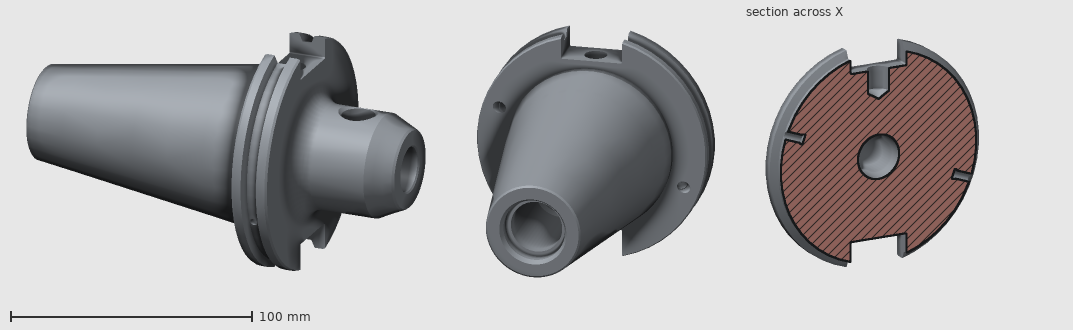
import cadquery as cq
import math

length = 164.6
gauge_x = 101.2
relief_x = 102.9
flange_start = 104.9
flange_end = 120.8
nose_taper_x = 153.0

gauge_radius = 34.9
relief_radius = 69.3 / 2
flange_radius = 98.1 / 2
groove_radius = 46.0
nose_radius = 44.5 / 2
nose_end_radius = 16.6
nose_rim_x = 163.6
nose_rim_radius = 17.3
taper_slope = 7 / 48
small_end_radius = gauge_radius - gauge_x * taper_slope
small_end_chamfer = 0.7
flange_chamfer_width = 1.0
flange_chamfer_height = 0.5
neck_fillet = 7.7

groove_center = 112.6
groove_floor_width = 4.0
groove_top_width = 6.9

mouth_radius = 14.3
mouth_depth = 2.3
pilot_radius = 26.2 / 2
thread_radius = 21.9 / 2
bore_radius = 19.1 / 2
pilot_depth = 6.6
thread_depth = 49.4
nose_bore_chamfer = 0.7

slot_width = 26.2
slot_corner_radius = 0.7
upper_slot_floor = 38.0
lower_slot_floor = 35.4
dimple_diameter = 9.5
dimple_depth = 9.9
drill_half_angle = math.radians(59)

screw_x = 141.4
screw_radius = 14.3 / 2
screw_mouth_radius = 8.5

coolant_angle = 20.0
coolant_circle_radius = 41.8
coolant_tilt = 30.0
coolant_mouth_diameter = 5.0
coolant_mouth_length = 2.5
channel_diameter = 4.3
vent_diameter = 3.3


def make_body():
    """Revolve the taper, flange and nose about the X axis."""
    floor_start = groove_center - groove_floor_width / 2
    floor_end = groove_center + groove_floor_width / 2
    top_start = groove_center - groove_top_width / 2
    top_end = groove_center + groove_top_width / 2
    fillet_center_x = flange_end + neck_fillet
    fillet_center_r = nose_radius + neck_fillet
    fillet_offset = neck_fillet * math.sqrt(0.5)
    return (
        cq.Workplane("XY")
        .moveTo(0, 0)
        .lineTo(0, small_end_radius - small_end_chamfer)
        .lineTo(small_end_chamfer, small_end_radius + small_end_chamfer * taper_slope)
        .lineTo(gauge_x, gauge_radius)
        .lineTo(relief_x, relief_radius)
        .lineTo(flange_start, relief_radius)
        .lineTo(flange_start, flange_radius - flange_chamfer_height)
        .lineTo(flange_start + flange_chamfer_width, flange_radius)
        .lineTo(top_start, flange_radius)
        .lineTo(floor_start, groove_radius)
        .lineTo(floor_end, groove_radius)
        .lineTo(top_end, flange_radius)
        .lineTo(flange_end - flange_chamfer_width, flange_radius)
        .lineTo(flange_end, flange_radius - flange_chamfer_height)
        .lineTo(flange_end, fillet_center_r)
        .threePointArc(
            (fillet_center_x - fillet_offset, fillet_center_r - fillet_offset),
            (fillet_center_x, nose_radius),
        )
        .lineTo(nose_taper_x, nose_radius)
        .lineTo(nose_rim_x, nose_rim_radius)
        .lineTo(length, nose_end_radius)
        .lineTo(length, 0)
        .close()
        .revolve(360, (0, 0, 0), (1, 0, 0))
    )


def make_bore():
    """Through bore with a threaded section and a chamfered pilot at the small end."""
    thread_step = thread_radius - bore_radius
    return (
        cq.Workplane("XY")
        .moveTo(0, 0)
        .lineTo(0, mouth_radius)
        .lineTo(mouth_depth, pilot_radius)
        .lineTo(pilot_depth, pilot_radius)
        .lineTo(pilot_depth, thread_radius)
        .lineTo(thread_depth, thread_radius)
        .lineTo(thread_depth + thread_step, bore_radius)
        .lineTo(length - nose_bore_chamfer, bore_radius)
        .lineTo(length, bore_radius + nose_bore_chamfer)
        .lineTo(length, 0)
        .close()
        .revolve(360, (0, 0, 0), (1, 0, 0))
    )


def make_slot(floor, side):
    """Drive slot above (side = 1) or below (side = -1) the axis."""
    depth = flange_radius - floor
    floor_corners = "<Z" if side > 0 else ">Z"
    slot = cq.Workplane("XY").box(flange_end - flange_start, slot_width, depth)
    slot = slot.faces(floor_corners).edges("|X").fillet(slot_corner_radius)
    return slot.translate(((flange_start + flange_end) / 2, 0, side * (floor + depth / 2)))


def make_dimple():
    """Drilled hole with a conical bottom in the upper slot floor."""
    radius = dimple_diameter / 2
    wall_end = upper_slot_floor - dimple_depth
    return (
        cq.Workplane("XZ")
        .moveTo(0, upper_slot_floor)
        .lineTo(radius, upper_slot_floor)
        .lineTo(radius, wall_end)
        .lineTo(0, wall_end - radius / math.tan(drill_half_angle))
        .close()
        .revolve(360, (0, 0, 0), (0, 1, 0))
        .translate((groove_center, 0, 0))
    )


def make_screw_hole():
    """Countersunk radial hole from the top of the nose into the bore."""
    countersink_depth = screw_mouth_radius - screw_radius
    return (
        cq.Workplane("XZ")
        .lineTo(screw_radius, 0)
        .lineTo(screw_radius, nose_radius - countersink_depth)
        .lineTo(screw_mouth_radius, nose_radius)
        .lineTo(0, nose_radius)
        .close()
        .revolve(360, (0, 0, 0), (0, 1, 0))
        .translate((screw_x, 0, 0))
    )


def make_coolant_passage(angle):
    """Stepped hole leaning toward the axis, met by a radial vent from the groove floor."""
    run = groove_center - flange_start
    channel_length = run / math.cos(math.radians(coolant_tilt))
    crossing_radius = coolant_circle_radius - run * math.tan(math.radians(coolant_tilt))
    channel = cq.Workplane("YZ").circle(channel_diameter / 2).extrude(channel_length)
    mouth = (
        cq.Workplane("YZ", origin=(-coolant_mouth_diameter, 0, 0))
        .circle(coolant_mouth_diameter / 2)
        .extrude(coolant_mouth_diameter + coolant_mouth_length)
    )
    inclined = (
        channel.union(mouth)
        .rotate((0, 0, 0), (0, 0, 1), -coolant_tilt)
        .translate((flange_start, coolant_circle_radius, 0))
    )
    vent = (
        cq.Workplane("XZ", origin=(groove_center, flange_radius, 0))
        .circle(vent_diameter / 2)
        .extrude(flange_radius - crossing_radius)
    )
    return inclined.union(vent).rotate((0, 0, 0), (1, 0, 0), angle)


result = make_body().cut(make_bore())
result = result.cut(make_slot(upper_slot_floor, 1))
result = result.cut(make_slot(lower_slot_floor, -1))
result = result.cut(make_dimple())
result = result.cut(make_screw_hole())
for half_turn in (0, 180):
    result = result.cut(make_coolant_passage(coolant_angle + half_turn))